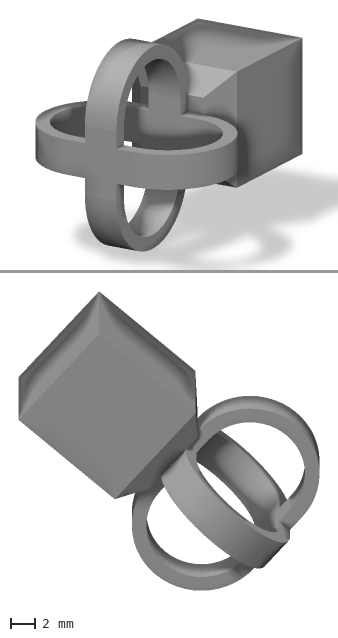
import cadquery as cq

total_length = 23.9
loop_length = 17.4
loop_depth = 11.4
loop_wall = 1.2
band_width = 3.0
block_width = 10.0
taper_length = 2.0

block_length = total_length - loop_depth
tip_width = block_width - 2 * taper_length
loop_center_y = -loop_depth / 2


def make_block():
    """Square block along +Y whose end at Y = 0 tapers to a smaller square."""
    tip = cq.Workplane("XZ").rect(tip_width, tip_width)
    taper = tip.workplane(offset=-taper_length).rect(block_width, block_width).loft(ruled=True)
    straight = (
        cq.Workplane("XZ", origin=(0, taper_length, 0))
        .rect(block_width, block_width)
        .extrude(-(block_length - taper_length))
    )
    return taper.union(straight)


def make_loop():
    """Obround band lying in the XY plane, long side along X."""
    middle = cq.Workplane("XY", origin=(0, loop_center_y, -band_width / 2))
    outer = middle.slot2D(loop_length, loop_depth).extrude(band_width)
    opening = middle.slot2D(loop_length - 2 * loop_wall, loop_depth - 2 * loop_wall).extrude(band_width)
    return outer.cut(opening)


def make_crossed_loops():
    """Two equal loops at right angles about the Y axis, joined as one body."""
    flat_loop = make_loop()
    upright_loop = flat_loop.rotate((0, 0, 0), (0, 1, 0), 90)
    return flat_loop.union(upright_loop)


block = make_block()
crossed_loops = make_crossed_loops()

result = cq.Compound.makeCompound([block.val(), crossed_loops.val()])